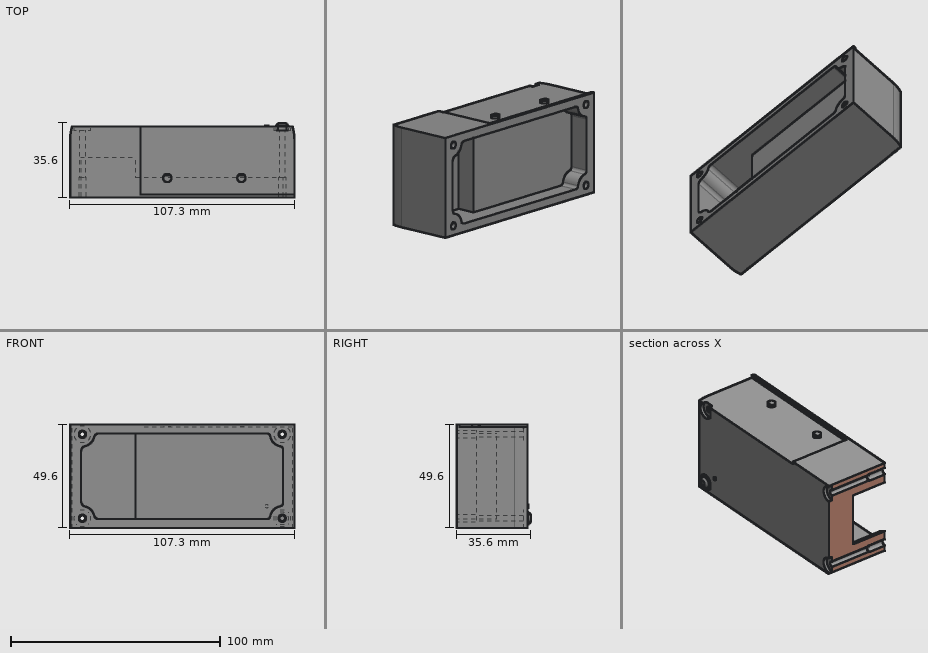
import cadquery as cq

LENGTH = 107.3
HEIGHT = 49.6
TOTAL_DEPTH = 35.6
HEAD_HEIGHT = 1.6
BODY_DEPTH = TOTAL_DEPTH - HEAD_HEIGHT
BACK_CORNER_RUN = 6.2
BACK_CORNER_INSET = 1.0
BACK_CORNER_RADIUS = (BACK_CORNER_RUN**2 + BACK_CORNER_INSET**2) / (2 * BACK_CORNER_INSET)

RECESS_START = 33.7
RECESS_DEPTH = 1.3
FRONT_RIM = 1.4
RECESS_FLOOR = HEIGHT - RECESS_DEPTH
PIN_DIAMETER = 4.0
PIN_X = (46.5, 81.9)
PIN_Y = 9.3
PIN_FLAT_OFFSET = 1.3
PIN_BASE = 0.2

HOLE_EDGE_X = 5.9
HOLE_EDGE_Z = 4.7
HOLE_DIAMETER = 2.8
HOLE_MOUTH_DIAMETER = 3.4
HOLE_MOUTH_DEPTH = 9.7
HOLE_POINTS = [
    (x, z)
    for x in (HOLE_EDGE_X, LENGTH - HOLE_EDGE_X)
    for z in (HOLE_EDGE_Z, HEIGHT - HOLE_EDGE_Z)
]

POCKET_LEFT = 5.4
POCKET_RIGHT = LENGTH - 5.5
POCKET_WALL_Z = 4.3
POCKET_STEP_X = 31.2
POCKET_DEPTH = 9.7
POCKET_DEEP_DEPTH = 19.1
HOLE_SURROUND_RADIUS = 5.8
POCKET_LEFT_FILLET = 2.4
POCKET_RIGHT_FILLET = 1.7

COUNTERBORE_DIAMETER = 7.9
COUNTERBORE_DEPTH = 1.9
COUNTERBORE_FLOOR = BODY_DEPTH - COUNTERBORE_DEPTH

SCREW_X = LENGTH - HOLE_EDGE_X
SCREW_Z = HOLE_EDGE_Z
HEAD_DIAMETER = 6.0
HEAD_SIDE_HEIGHT = 0.2
HEAD_CONE_DIAMETER = 5.2
HEAD_CONE_HEIGHT = 0.6
HEAD_TOP_DIAMETER = 2.8
HEAD_CROWN_RADIUS = 2.0

DOT_DIAMETER = 1.6
DOT_HEIGHT = 0.3
DOT_X = 94.0
DOT_Z = 10.5


def box(x0, x1, y0, y1, z0, z1):
    """Box between the given limits."""
    return cq.Workplane("XY").box(x1 - x0, y1 - y0, z1 - z0, centered=False).translate((x0, y0, z0))


def rod(x, z, diameter, y0, y1):
    """Cylinder along Y from y0 to y1."""
    sketch = cq.Workplane("XZ", origin=(x, y0, z)).circle(diameter / 2)
    return sketch.extrude(y0 - y1)


def make_block():
    """Block with a large-radius curve on its two back corners."""
    side_end = BODY_DEPTH - BACK_CORNER_RUN
    left_end = (BACK_CORNER_INSET, BODY_DEPTH)
    right_end = (LENGTH - BACK_CORNER_INSET, BODY_DEPTH)
    return (
        cq.Workplane("XY")
        .lineTo(LENGTH, 0)
        .lineTo(LENGTH, side_end)
        .radiusArc(right_end, -BACK_CORNER_RADIUS)
        .lineTo(*left_end)
        .radiusArc((0, side_end), -BACK_CORNER_RADIUS)
        .close()
        .extrude(HEIGHT)
    )


def make_pocket():
    """Stepped pocket volume, rounded where its walls meet the hole surrounds."""
    pocket = box(POCKET_LEFT, POCKET_RIGHT, 0, POCKET_DEEP_DEPTH, POCKET_WALL_Z, HEIGHT - POCKET_WALL_Z)
    for x, z in HOLE_POINTS:
        pocket = pocket.cut(rod(x, z, 2 * HOLE_SURROUND_RADIUS, 0, POCKET_DEEP_DEPTH))
    for side, radius in ((-1, POCKET_LEFT_FILLET), (1, POCKET_RIGHT_FILLET)):
        corners = pocket.edges("|Y").filter(lambda edge: side * (edge.Center().x - LENGTH / 2) > 0)
        pocket = corners.fillet(radius)
    floor_step = box(POCKET_STEP_X, LENGTH, POCKET_DEPTH, BODY_DEPTH, 0, HEIGHT)
    return pocket.cut(floor_step)


def make_pin(x):
    """Round pin in the top recess with a flat on its back side."""
    pin = (
        cq.Workplane("XY", origin=(x, PIN_Y, RECESS_FLOOR))
        .circle(PIN_DIAMETER / 2)
        .extrude(RECESS_DEPTH)
    )
    radius = PIN_DIAMETER / 2
    flat_y = PIN_Y + PIN_FLAT_OFFSET
    flat = box(x - radius, x + radius, flat_y, PIN_Y + radius, RECESS_FLOOR + PIN_BASE, HEIGHT)
    return pin.cut(flat)


def make_screw_head():
    """Round head standing on the counterbore floor, with a conical shoulder and rounded crown."""
    head_radius = HEAD_DIAMETER / 2
    return (
        cq.Workplane("XY")
        .moveTo(0, -COUNTERBORE_DEPTH)
        .lineTo(head_radius, -COUNTERBORE_DEPTH)
        .lineTo(head_radius, HEAD_SIDE_HEIGHT)
        .lineTo(HEAD_CONE_DIAMETER / 2, HEAD_CONE_HEIGHT)
        .radiusArc((HEAD_TOP_DIAMETER / 2, HEAD_HEIGHT), -HEAD_CROWN_RADIUS)
        .lineTo(0, HEAD_HEIGHT)
        .close()
        .revolve(360, (0, 0, 0), (0, 1, 0))
        .translate((SCREW_X, BODY_DEPTH, SCREW_Z))
    )


result = make_block()
result = result.cut(box(RECESS_START, LENGTH, FRONT_RIM, BODY_DEPTH, RECESS_FLOOR, HEIGHT))
result = result.cut(make_pocket())

for hole_x, hole_z in HOLE_POINTS:
    result = result.cut(rod(hole_x, hole_z, HOLE_DIAMETER, 0, BODY_DEPTH))
    result = result.cut(rod(hole_x, hole_z, HOLE_MOUTH_DIAMETER, 0, HOLE_MOUTH_DEPTH))
    result = result.cut(rod(hole_x, hole_z, COUNTERBORE_DIAMETER, COUNTERBORE_FLOOR, BODY_DEPTH))

result = result.union(make_screw_head())
result = result.union(rod(DOT_X, DOT_Z, DOT_DIAMETER, BODY_DEPTH, BODY_DEPTH + DOT_HEIGHT))
for pin_x in PIN_X:
    result = result.union(make_pin(pin_x))